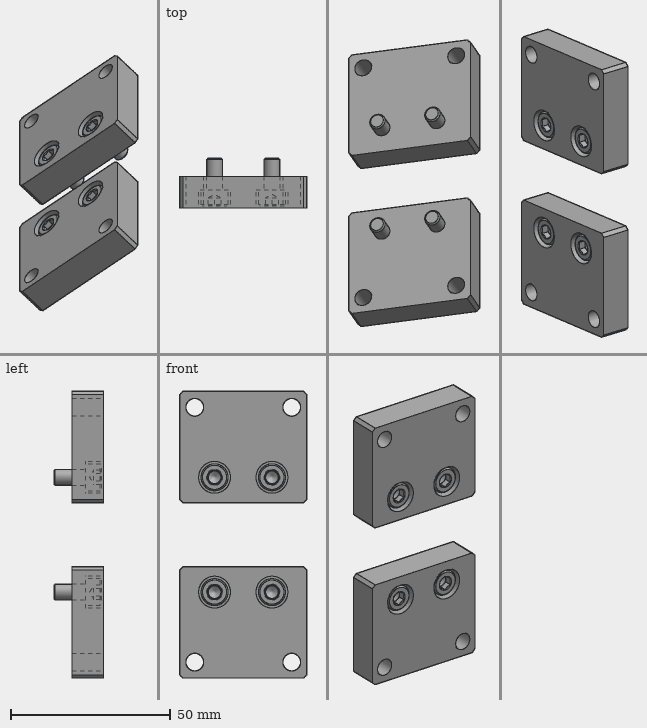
import cadquery as cq
import math

TOTAL_HEIGHT = 90.0
PLATE_WIDTH = 40.0
PLATE_HEIGHT = 35.0
PLATE_THICKNESS = 10.0
CORNER_CHAMFER = 1.1
PLATE_CENTRE_Z = (TOTAL_HEIGHT - PLATE_HEIGHT) / 2

MOUNT_HOLE_DIAMETER = 5.5
MOUNT_HOLE_SIDE_MARGIN = 4.8
MOUNT_HOLE_END_MARGIN = 5.0
MOUNT_HOLE_X = PLATE_WIDTH / 2 - MOUNT_HOLE_SIDE_MARGIN
MOUNT_HOLE_Z = PLATE_HEIGHT / 2 - MOUNT_HOLE_END_MARGIN

SCREW_SPACING = 18.0
SCREW_EDGE_MARGIN = 8.0
SCREW_X = SCREW_SPACING / 2
SCREW_Z = SCREW_EDGE_MARGIN - PLATE_HEIGHT / 2

SHANK_DIAMETER = 5.0
SHANK_CHAMFER = 0.45
HEAD_DIAMETER = 8.5
HEAD_HEIGHT = 4.95
HEAD_CHAMFER = 0.45
SOCKET_ACROSS_FLATS = 4.0
SOCKET_ACROSS_CORNERS = SOCKET_ACROSS_FLATS / math.cos(math.pi / 6)
SOCKET_DEPTH = 2.5
SOCKET_MOUTH_DIAMETER = 4.7
SOCKET_TIP_ANGLE = 120.0

SCREW_TIP_Y = 15.7
SHANK_LENGTH = 10.0
COUNTERBORE_DIAMETER = 10.0
COUNTERBORE_DEPTH = SCREW_TIP_Y - SHANK_LENGTH


def cylinder(diameter, start_y, length, x=0.0, z=0.0):
    """Cylinder running from start_y toward +Y."""
    return cq.Workplane(cq.Solid.makeCylinder(
        diameter / 2, length, cq.Vector(x, start_y, z), cq.Vector(0, 1, 0)))


def cone(start_diameter, end_diameter, start_y, length):
    """Cone on the Y axis, running from start_y toward +Y."""
    return cq.Workplane(cq.Solid.makeCone(
        start_diameter / 2, end_diameter / 2, length, cq.Vector(0, start_y, 0), cq.Vector(0, 1, 0)))


def make_plate():
    """Upper plate, centred on the Y axis."""
    plate = cq.Workplane("XY").box(PLATE_WIDTH, PLATE_THICKNESS, PLATE_HEIGHT, centered=(True, False, True))
    plate = plate.edges("|Y").chamfer(CORNER_CHAMFER)
    for side in (-1, 1):
        mount_hole = cylinder(MOUNT_HOLE_DIAMETER, 0, PLATE_THICKNESS, side * MOUNT_HOLE_X, MOUNT_HOLE_Z)
        counterbore = cylinder(COUNTERBORE_DIAMETER, 0, COUNTERBORE_DEPTH, side * SCREW_X, SCREW_Z)
        shank_hole = cylinder(SHANK_DIAMETER, 0, PLATE_THICKNESS, side * SCREW_X, SCREW_Z)
        plate = plate.cut(mount_hole).cut(counterbore).cut(shank_hole)
    return plate


def make_socket(head_face_y):
    """Hexagonal drive recess with a 45-degree countersunk mouth and a conical bottom."""
    hexagon = (
        cq.Workplane("XZ", origin=(0, head_face_y, 0))
        .transformed(rotate=(0, 0, 90))
        .polygon(6, SOCKET_ACROSS_CORNERS)
        .extrude(-SOCKET_DEPTH)
    )
    mouth_depth = SOCKET_MOUTH_DIAMETER / 2
    mouth = cone(SOCKET_MOUTH_DIAMETER, 0, head_face_y, mouth_depth)
    tip_depth = SOCKET_ACROSS_FLATS / 2 / math.tan(math.radians(SOCKET_TIP_ANGLE / 2))
    tip = cone(SOCKET_ACROSS_FLATS, 0, head_face_y + SOCKET_DEPTH, tip_depth)
    return hexagon.union(mouth).union(tip)


def make_screw():
    """Screw on the Y axis, its head seated on the counterbore floor."""
    head_face_y = COUNTERBORE_DEPTH - HEAD_HEIGHT
    head = cylinder(HEAD_DIAMETER, head_face_y, HEAD_HEIGHT)
    head = head.faces("<Y").chamfer(HEAD_CHAMFER)
    shank = cylinder(SHANK_DIAMETER, COUNTERBORE_DEPTH, SHANK_LENGTH)
    shank = shank.faces(">Y").chamfer(SHANK_CHAMFER)
    return head.union(shank).cut(make_socket(head_face_y))


upper_plate = make_plate().translate((0, 0, PLATE_CENTRE_Z))
lower_plate = upper_plate.mirror("XY")

screw = make_screw()
screws = []
for level in (-1, 1):
    for side in (-1, 1):
        place = (side * SCREW_X, 0, level * (PLATE_CENTRE_Z + SCREW_Z))
        screws.append(screw.translate(place).val())

result = cq.Compound.makeCompound([upper_plate.val(), lower_plate.val(), *screws])